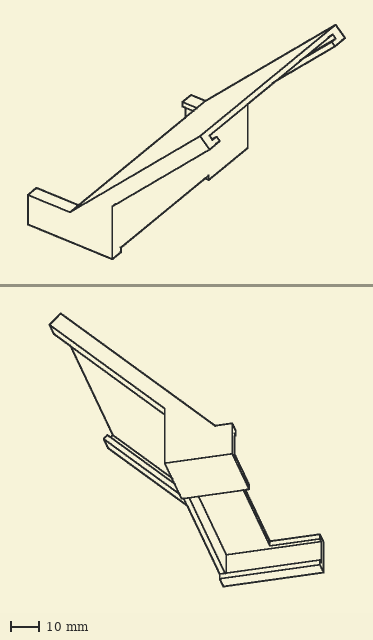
import cadquery as cq
import math

total_length = 78.9
total_width = 83.16
total_height = 69.38

base_length = 36.7
base_height = 12.9
skin = 2.0
base_slot_width = 76.1
base_opening_width = 72.5
floor_width = 24.0
front_setback = 12.0
slot_end_wall = 2.0

lean_angle = 45.0
plate_thickness = 5.85
plate_slot_width = 75.5
plate_opening_width = 70.6

lean = math.radians(lean_angle)
tip_x = total_length - plate_thickness * math.sin(lean)
tip_bottom_z = total_height - plate_thickness * math.cos(lean)
plate_foot_x = tip_x - (total_height - base_height) / math.tan(lean)
underside_foot_z = tip_bottom_z - (total_length - base_length) * math.tan(lean)
groove_length = (total_length - base_length) / math.cos(lean)


def box_between(x_range, y_range, z_range):
    """Box spanning the given (low, high) pairs."""
    sizes = [high - low for low, high in (x_range, y_range, z_range)]
    corner = cq.Vector(x_range[0], y_range[0], z_range[0])
    return cq.Workplane(cq.Solid.makeBox(*sizes, corner))


def make_body():
    """Side outline of base and plate, extruded over the full width."""
    outline = [
        (0, 0),
        (base_length, 0),
        (base_length, underside_foot_z),
        (total_length, tip_bottom_z),
        (tip_x, total_height),
        (plate_foot_x, base_height),
        (0, base_height),
    ]
    side = cq.Workplane("XZ").polyline(outline).close()
    return side.extrude(total_width / 2, both=True)


def cut_base_channel(body):
    """Blind slot with an open top ahead of the plate and a partly open floor."""
    half_slot = base_slot_width / 2
    half_opening = base_opening_width / 2
    floor_edge_y = total_width / 2 - floor_width
    ceiling_z = base_height - skin
    slot_end_x = base_length - slot_end_wall
    slot = box_between((0, slot_end_x), (-half_slot, half_slot), (skin, ceiling_z))
    top_opening = box_between(
        (0, plate_foot_x), (-half_opening, half_opening), (ceiling_z, base_height)
    )
    floor_opening = box_between((0, base_length), (-half_opening, floor_edge_y), (0, skin))
    return body.cut(slot).cut(top_opening).cut(floor_opening)


def shorten_far_arm(body):
    """Set the +Y arm and its floor back from the front of the -Y arm."""
    setback = box_between((0, front_setback), (0, total_width / 2), (0, base_height))
    return body.cut(setback)


def cut_plate_groove(body):
    """T-shaped groove along the plate underside, from the tip to the base block."""
    tip_plane = cq.Plane(
        origin=(total_length, 0, tip_bottom_z),
        xDir=(0, -1, 0),
        normal=(-math.cos(lean), 0, -math.sin(lean)),
    )
    groove_depth = plate_thickness - skin
    half_slot = plate_slot_width / 2
    half_opening = plate_opening_width / 2
    profile = [
        (-half_opening, 0),
        (half_opening, 0),
        (half_opening, skin),
        (half_slot, skin),
        (half_slot, groove_depth),
        (-half_slot, groove_depth),
        (-half_slot, skin),
        (-half_opening, skin),
    ]
    groove = cq.Workplane(tip_plane).polyline(profile).close().extrude(groove_length)
    return body.cut(groove)


body = make_body()
body = cut_base_channel(body)
body = shorten_far_arm(body)
body = cut_plate_groove(body)
result = body